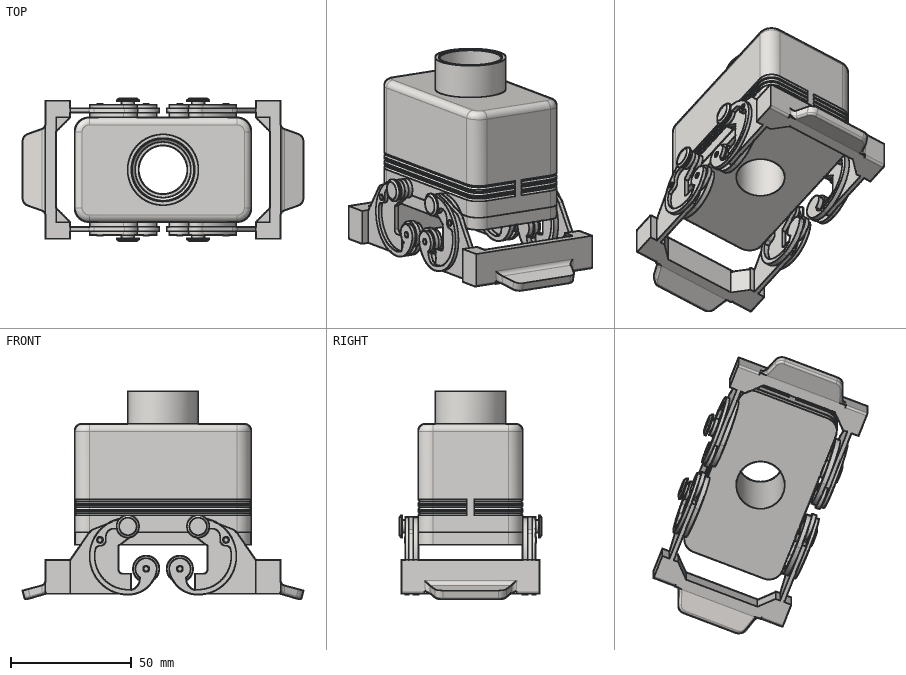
import cadquery as cq
import math


hood_length = 73.2
hood_depth = 43.4
hood_height = 50.1
hood_corner_radius = 6.0
hood_top_fillet = 3.0
skirt_height = 5.2
skirt_inset = 0.1

groove_count = 3
groove_width = 1.7
groove_depth = 0.7
groove_pitch = 2.5
lowest_groove_z = 12.2
groove_break = 3.0

collar_radius = 14.7
collar_top = 63.6
entry_radius = 10.0
socket_radius = 12.8
socket_mouth_chamfer = 0.3
socket_depth = 10.9
seat_radius = 11.5
seat_depth = 2.0

cheek_overlap = 0.2
cheek_inner_y = hood_depth / 2 - cheek_overlap
plate_inner_y = 23.6
plate_outer_y = 25.5
cheek_outer_y = 27.0

pivot_x = 14.5
pivot_z = 7.7
pivot_plate_radius = 4.1
pivot_cheek_radius = 4.0
pin_radius = 2.7
head_radius = 4.7
head_chamfer = 1.0
head_rim = 0.5
head_inner_y = 28.3
head_span = 59.0
head_outer_y = head_span / 2

rim_x = 14.4
rim_z = -4.7
rim_outer_radius = 15.9
rim_inner_radius = 13.8
rim_bottom = rim_z - rim_outer_radius
rim_top = rim_z + rim_outer_radius

neck_drop = 0.9
neck_bottom_z = pivot_z - neck_drop
neck_fillet = 3.3
lug_x = 26.0
lug_z = 2.1
lug_radius = 2.5
lug_blend_radius = 2.2

roller_x = 7.0
roller_z = -9.9
roller_radius = 5.5
roller_cheek_radius = 4.4
rivet_radius = 1.3
rivet_height = 0.2
hook_throat_x = 14.1
hook_throat_z = -14.2
hook_throat_radius = 4.4

plate_bottom = -20.2
plate_mouth_x = 18.4
plate_mouth_top = -0.3
plate_notch_x = 13.1
plate_notch_z = -11.9
plate_notch_fillet = 1.7
shoulder_x = 29.9
shoulder_z = 6.0
shoulder_fillet = 4.7

bar_outer_x = 48.6
bar_inner_x = 44.2
bar_top = -6.2
bar_half_width = 28.6
bar_edge_fillet = 0.9
rounding_inner_y = 19.1
leg_inner_x = 38.4
leg_inner_y = 21.6
gusset_leg = 5.8
gusset_drop = 0.9

tab_tip_x = 58.2
tab_slope = 15.0
tab_thickness = 4.1
tab_root_z = -16.3
tab_root_half_width = 17.5
tab_tip_half_width = 14.1
tab_corner_radius = 3.5
tab_edge_fillet = 0.9
tab_root_fillet = 2.1
tab_embed = 2.3
trim_allowance = 4.7
select_margin = 0.1


def rounded_block(length, depth, radius, bottom, height, taper=0):
    """Upright block with rounded vertical corners."""
    outline = cq.Sketch().rect(length, depth).vertices().fillet(radius)
    return cq.Workplane("XY", origin=(0, 0, bottom)).placeSketch(outline).extrude(height, taper=taper)


def side_plane(y):
    """XZ work plane at the given Y; a negative extrusion grows outward along +Y."""
    return cq.Workplane("XZ", origin=(0, y, 0))


def disc(x, z, radius, inner_y, outer_y):
    """Round plate with its axis along Y."""
    return side_plane(inner_y).center(x, z).circle(radius).extrude(inner_y - outer_y)


def make_groove(bottom):
    """Cutter for one V groove round the hood, interrupted on the two end faces."""
    half_width = groove_width / 2
    taper = math.degrees(math.atan2(groove_depth, half_width))
    frustum = rounded_block(hood_length, hood_depth, hood_corner_radius, bottom, half_width, taper)
    core = frustum.union(frustum.mirror("XY", (0, 0, bottom + half_width)))
    band = (
        cq.Workplane("XY", origin=(0, 0, bottom))
        .rect(hood_length, hood_depth)
        .extrude(groove_width)
    )
    end_break = (
        cq.Workplane("XY", origin=(0, 0, bottom))
        .rect(hood_length, groove_break)
        .extrude(groove_width)
    )
    return band.cut(core).cut(end_break)


def make_hood():
    """Hood: rounded body, inset skirt, grooves, collar and cable entry."""
    hood = rounded_block(
        hood_length, hood_depth, hood_corner_radius, skirt_height, hood_height - skirt_height
    )
    hood = hood.faces(">Z").edges().fillet(hood_top_fillet)
    skirt = rounded_block(
        hood_length - 2 * skirt_inset,
        hood_depth - 2 * skirt_inset,
        hood_corner_radius - skirt_inset,
        0,
        skirt_height,
    )
    hood = hood.union(skirt)
    for index in range(groove_count):
        hood = hood.cut(make_groove(lowest_groove_z + index * groove_pitch))
    collar = (
        cq.Workplane("XY", origin=(0, 0, hood_height))
        .circle(collar_radius)
        .extrude(collar_top - hood_height)
    )
    socket_floor = collar_top - socket_depth
    seat_step = socket_radius - seat_radius
    seat_arc_radius = (seat_step**2 + seat_depth**2) / (2 * seat_step)
    entry = (
        cq.Workplane("XZ")
        .moveTo(0, 0)
        .lineTo(entry_radius, 0)
        .lineTo(entry_radius, socket_floor - seat_depth)
        .lineTo(seat_radius, socket_floor - seat_depth)
        .radiusArc((socket_radius, socket_floor), -seat_arc_radius)
        .lineTo(socket_radius, collar_top - socket_mouth_chamfer)
        .lineTo(socket_radius + socket_mouth_chamfer, collar_top)
        .lineTo(0, collar_top)
        .close()
        .revolve(360, (0, 0, 0), (0, 1, 0))
    )
    return hood.union(collar).cut(entry)


def tangent_point(x, z, upper):
    """Point where a line from (x, z) touches the pivot boss of the side plate."""
    distance = math.hypot(x - pivot_x, z - pivot_z)
    offset = math.acos(pivot_plate_radius / distance)
    bearing = math.atan2(z - pivot_z, x - pivot_x)
    angle = bearing + offset if upper else bearing - offset
    return (
        pivot_x + pivot_plate_radius * math.cos(angle),
        pivot_z + pivot_plate_radius * math.sin(angle),
    )


def fillet_edge_at(plate, x, z, radius):
    """Round the plate edge that runs along Y through (x, z)."""
    middle = (x, (plate_inner_y + plate_outer_y) / 2, z)
    return plate.edges(cq.selectors.NearestToPointSelector(middle)).fillet(radius)


def make_plate():
    """Middle layer: side plate with its pivot boss, and the separate roller."""
    plate = (
        side_plane(plate_inner_y)
        .moveTo(leg_inner_x, plate_bottom)
        .lineTo(leg_inner_x, bar_top)
        .lineTo(shoulder_x, shoulder_z)
        .lineTo(*tangent_point(shoulder_x, shoulder_z, True))
        .lineTo(pivot_x, pivot_z)
        .lineTo(*tangent_point(plate_mouth_x, plate_mouth_top, False))
        .lineTo(plate_mouth_x, plate_mouth_top)
        .lineTo(plate_mouth_x, plate_notch_z)
        .lineTo(plate_notch_x, plate_notch_z)
        .lineTo(plate_notch_x, plate_bottom)
        .close()
        .extrude(plate_inner_y - plate_outer_y)
    )
    plate = fillet_edge_at(plate, shoulder_x, shoulder_z, shoulder_fillet)
    plate = fillet_edge_at(plate, plate_mouth_x, plate_notch_z, plate_notch_fillet)
    boss = disc(pivot_x, pivot_z, pivot_plate_radius, plate_inner_y, plate_outer_y)
    roller = disc(roller_x, roller_z, roller_radius, plate_inner_y, plate_outer_y)
    return plate.union(boss).union(roller)


def make_rim(inner_y, outer_y):
    """Crescent of a cheek: a disc hollowed out to leave the rim, the neck and the rivet lug."""
    depth = inner_y - outer_y
    rim = disc(rim_x, rim_z, rim_outer_radius, inner_y, outer_y)
    hollow = disc(rim_x, rim_z, rim_inner_radius, inner_y, outer_y)
    neck = (
        side_plane(inner_y)
        .moveTo(rim_x, neck_bottom_z)
        .lineTo(lug_x, neck_bottom_z)
        .lineTo(lug_x, rim_top)
        .lineTo(rim_x, rim_top)
        .close()
        .extrude(depth)
    )
    lug_left = lug_x - lug_radius
    lug_bottom = lug_z - lug_radius
    lug_corner = lug_radius * math.sqrt(0.5)
    lug = (
        side_plane(inner_y)
        .moveTo(lug_x, lug_bottom)
        .threePointArc((lug_x - lug_corner, lug_z - lug_corner), (lug_left, lug_z))
        .lineTo(lug_left, neck_bottom_z - neck_fillet)
        .radiusArc((lug_left - neck_fillet, neck_bottom_z), -neck_fillet)
        .lineTo(rim_x + rim_inner_radius, neck_bottom_z)
        .lineTo(rim_x + rim_outer_radius, lug_bottom - lug_blend_radius)
        .lineTo(lug_x + lug_blend_radius, lug_bottom - lug_blend_radius)
        .radiusArc((lug_x, lug_bottom), -lug_blend_radius)
        .close()
        .extrude(depth)
    )
    open_side = side_plane(inner_y).rect(2 * rim_x, 2 * (rim_top - rim_bottom)).extrude(depth)
    return rim.cut(hollow.cut(neck).cut(lug)).cut(open_side)


def make_hook(inner_y, outer_y):
    """Curved arm from the foot of the rim to the roller, with the round roller cheek."""
    run = rim_x - roller_x
    rise = roller_z - rim_bottom
    outer_radius = (run**2 + rise**2 - roller_cheek_radius**2) / (2 * (rise - roller_cheek_radius))
    center_z = rim_bottom + outer_radius
    touch_angle = math.atan2(roller_z - center_z, -run) % (2 * math.pi)
    middle_angle = (touch_angle + 1.5 * math.pi) / 2

    def on_outer_arc(angle):
        return (rim_x + outer_radius * math.cos(angle), center_z + outer_radius * math.sin(angle))

    throat_bottom = hook_throat_z - hook_throat_radius
    throat_reach = hook_throat_radius * math.sqrt(0.5)
    arm = (
        side_plane(inner_y)
        .moveTo(rim_x, rim_bottom)
        .threePointArc(on_outer_arc(middle_angle), on_outer_arc(touch_angle))
        .lineTo(roller_x, roller_z)
        .lineTo(hook_throat_x - hook_throat_radius, hook_throat_z)
        .threePointArc(
            (hook_throat_x - throat_reach, hook_throat_z - throat_reach),
            (hook_throat_x, throat_bottom),
        )
        .lineTo(rim_x, throat_bottom)
        .close()
        .extrude(inner_y - outer_y)
    )
    return arm.union(disc(roller_x, roller_z, roller_cheek_radius, inner_y, outer_y))


def make_cheek(inner_y, outer_y):
    """One of the two outer layers of a lever."""
    pivot = disc(pivot_x, pivot_z, pivot_cheek_radius, inner_y, outer_y)
    return make_rim(inner_y, outer_y).union(make_hook(inner_y, outer_y)).union(pivot)


def make_pins():
    """Button-head pivot pin and the two rivets."""
    pin = disc(pivot_x, pivot_z, pin_radius, cheek_inner_y, head_outer_y)
    head = (
        disc(pivot_x, pivot_z, head_radius, head_inner_y, head_outer_y)
        .faces(">Y")
        .chamfer(head_outer_y - head_inner_y - head_rim, head_chamfer)
    )
    pins = pin.union(head)
    for x, z in ((lug_x, lug_z), (roller_x, roller_z)):
        rivet = disc(x, z, rivet_radius, plate_outer_y, cheek_outer_y + rivet_height)
        pins = pins.union(rivet.faces(">Y").chamfer(rivet_height))
    return pins


def make_tab_blank():
    """Finger tab sloping down and outward, full width and thicker than finished."""
    slope = math.radians(tab_slope)
    length = (tab_tip_x - bar_outer_x) / math.cos(slope)
    plane = cq.Plane(
        origin=(bar_outer_x, 0, tab_root_z),
        xDir=(math.cos(slope), 0, -math.sin(slope)),
        normal=(math.sin(slope), 0, math.cos(slope)),
    )
    tab = (
        cq.Workplane(plane)
        .moveTo(-tab_embed, -tab_root_half_width)
        .lineTo(0, -tab_root_half_width)
        .lineTo(length, -tab_tip_half_width)
        .lineTo(length, tab_tip_half_width)
        .lineTo(0, tab_root_half_width)
        .lineTo(-tab_embed, tab_root_half_width)
        .close()
        .extrude(-tab_thickness - trim_allowance)
    )
    tip_z = tab_root_z - length * math.sin(slope)
    for side in (-1, 1):
        corner = (tab_tip_x, side * tab_tip_half_width, tip_z - tab_thickness / 2)
        tab = tab.edges(cq.selectors.NearestToPointSelector(corner)).fillet(tab_corner_radius)
    return tab


def make_trim():
    """Everything below the flat bar bottom and the sloping underside of the tab."""
    reach = tab_tip_x - bar_outer_x
    under_side_drop = tab_thickness / math.cos(math.radians(tab_slope))
    tip_bottom = tab_root_z - under_side_drop - reach * math.tan(math.radians(tab_slope))
    floor = tip_bottom - 2 * trim_allowance
    return (
        cq.Workplane("XZ")
        .moveTo(0, floor)
        .lineTo(0, plate_bottom)
        .lineTo(bar_outer_x, plate_bottom)
        .lineTo(tab_tip_x, tip_bottom)
        .lineTo(2 * tab_tip_x, tip_bottom)
        .lineTo(2 * tab_tip_x, floor)
        .close()
        .extrude(bar_half_width, both=True)
    )


def make_bar():
    """Cross bar with its two legs, corner gussets and finger tab, full width."""
    blank_bottom = plate_bottom - trim_allowance
    bar = (
        cq.Workplane("XY", origin=(0, 0, blank_bottom))
        .moveTo(leg_inner_x, -bar_half_width)
        .lineTo(bar_outer_x, -bar_half_width)
        .lineTo(bar_outer_x, bar_half_width)
        .lineTo(leg_inner_x, bar_half_width)
        .lineTo(leg_inner_x, leg_inner_y)
        .lineTo(bar_inner_x, leg_inner_y)
        .lineTo(bar_inner_x, -leg_inner_y)
        .lineTo(leg_inner_x, -leg_inner_y)
        .close()
        .extrude(bar_top - blank_bottom)
    )
    bar = bar.union(make_tab_blank())
    root_edges = cq.selectors.BoxSelector(
        (bar_outer_x - select_margin, -tab_root_half_width - select_margin, blank_bottom + select_margin),
        (bar_outer_x + select_margin, tab_root_half_width + select_margin, tab_root_z + select_margin),
    )
    bar = bar.edges(root_edges).fillet(tab_root_fillet).cut(make_trim())
    tip_edge = cq.selectors.NearestToPointSelector((tab_tip_x, 0, bar.val().BoundingBox().zmin))
    bar = bar.edges(tip_edge).fillet(tab_edge_fillet)
    rounding = (
        cq.Workplane("XZ")
        .moveTo(bar_outer_x, plate_bottom)
        .lineTo(bar_outer_x, plate_bottom + bar_edge_fillet)
        .radiusArc((bar_outer_x - bar_edge_fillet, plate_bottom), bar_edge_fillet)
        .close()
        .extrude(bar_half_width - rounding_inner_y)
    )
    for offset in (-rounding_inner_y, bar_half_width):
        bar = bar.cut(rounding.translate((0, offset, 0)))
    gusset = (
        cq.Workplane("XY", origin=(0, 0, plate_bottom))
        .moveTo(bar_inner_x, leg_inner_y)
        .lineTo(bar_inner_x - gusset_leg, leg_inner_y)
        .lineTo(bar_inner_x, leg_inner_y - gusset_leg)
        .close()
        .extrude(bar_top - gusset_drop - plate_bottom)
    )
    return bar.union(gusset).union(gusset.mirror("XZ"))


def make_lever():
    """Complete lever on the +X side."""
    side = (
        make_plate()
        .union(make_cheek(cheek_inner_y, plate_inner_y))
        .union(make_cheek(plate_outer_y, cheek_outer_y))
        .union(make_pins())
    )
    return make_bar().union(side).union(side.mirror("XZ"))


lever = make_lever()
result = make_hood().union(lever).union(lever.mirror("YZ"))